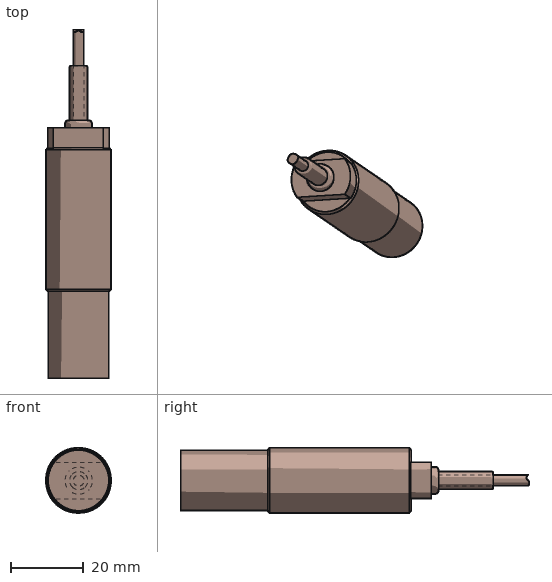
import cadquery as cq

shoulder_y = 24.0
barrel_end_y = 63.5
neck_end_y = 69.0
gland_end_y = 71.0
sleeve_end_y = 86.0
cable_end_y = 95.6
cable_tip_y = 95.97

nose_diameter = 16.7
barrel_diameter = 18.0
neck_diameter = 17.0
gland_diameter = 7.5
sleeve_diameter = 5.0
cable_diameter = 3.0

front_chamfer = 0.5
rear_chamfer = 0.65
gland_fillet = 1.0
sleeve_fillet = 0.5
across_flats = 10.0

break_depth = cable_tip_y - cable_end_y


def cylinder(diameter, start_y, end_y):
    """Round bar along +Y, centred on the axis."""
    length = end_y - start_y
    return cq.Workplane("XZ", origin=(0, start_y, 0)).circle(diameter / 2).extrude(-length)


def make_neck():
    """Round neck with wrench flats above and below, rooted at the start of the barrel's rear chamfer."""
    start_y = barrel_end_y - rear_chamfer
    length = neck_end_y - start_y
    middle_y = (neck_end_y + start_y) / 2
    slab = cq.Workplane("XY", origin=(0, middle_y, 0)).box(neck_diameter, length, across_flats)
    return cylinder(neck_diameter, start_y, neck_end_y).intersect(slab)


def make_housing():
    """Nose, barrel, flatted neck, cable gland and bend-relief sleeve, bored for the cable."""
    nose = cylinder(nose_diameter, 0, shoulder_y)
    barrel = cylinder(barrel_diameter, shoulder_y, barrel_end_y)
    barrel = barrel.faces("<Y").chamfer(front_chamfer)
    barrel = barrel.faces(">Y").chamfer(rear_chamfer)
    gland = cylinder(gland_diameter, neck_end_y, gland_end_y).faces(">Y").edges().fillet(gland_fillet)
    sleeve = cylinder(sleeve_diameter, gland_end_y, sleeve_end_y)
    sleeve = sleeve.faces(">Y").edges().fillet(sleeve_fillet)
    bore = cylinder(cable_diameter, gland_end_y, sleeve_end_y)
    return nose.union(barrel).union(make_neck()).union(gland).union(sleeve).cut(bore)


def make_cable():
    """Cable seated in the sleeve, ending in an S-shaped break."""
    radius = cable_diameter / 2
    side_profile = (
        cq.Workplane("YZ")
        .moveTo(gland_end_y, -radius)
        .lineTo(cable_end_y, -radius)
        .threePointArc((cable_tip_y, -radius / 2), (cable_end_y, 0))
        .threePointArc((cable_end_y - break_depth, radius / 2), (cable_end_y, radius))
        .lineTo(gland_end_y, radius)
        .close()
        .extrude(radius, both=True)
    )
    return cylinder(cable_diameter, gland_end_y, cable_tip_y).intersect(side_profile)


housing = make_housing()
cable = make_cable()

result = cq.Compound.makeCompound([housing.val(), cable.val()])